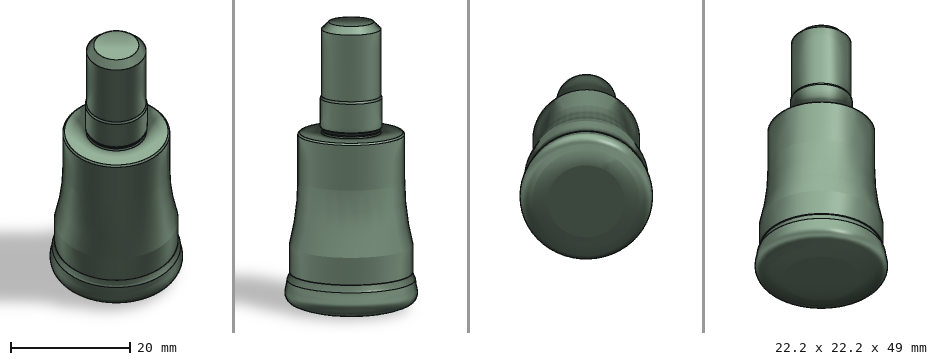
import cadquery as cq
import math


total_height = 49.0
shoulder_height = 30.05
flare_top = 21.95
flare_bottom = 10.75
joint_height = 6.05

stem_radius = 5.0
tip_chamfer = 1.22
collar_radius = 5.2
collar_top = 35.95
collar_top_bevel = 0.4
collar_bottom = 31.05
collar_step = collar_radius - stem_radius

groove_radius = 4.8
groove_top = 30.5
groove_bottom = 30.3
groove_rim_radius = 5.05

barrel_radius = 8.95
barrel_chamfer = 0.3
band_radius = 10.4
band_edge_chamfer = 0.1

pad_top_radius = 10.3
pad_cone_radius = 10.65
pad_cone_height = 5.15
rib_radius = 10.8
rib_top = 4.85
rib_bottom = 4.4
rib_foot_radius = 10.85
cove_radius = 11.02
cove_height = 3.4
cove_depth = 0.025
bulge_radius = 11.1
bulge_top_radius = 11.05
bulge_top = 3.1
bulge_height = 2.65
heel_radius = 9.95
heel_height = 0.9
sole_edge_radius = 8.95
sole_edge_height = 0.5


def flare_midpoint():
    """Point halfway along the flare, a circular arc tangent to the straight barrel."""
    rise = flare_top - flare_bottom
    spread = band_radius - barrel_radius
    arc_radius = (rise**2 + spread**2) / (2 * spread)
    half_angle = math.asin(rise / arc_radius) / 2
    return (
        barrel_radius + arc_radius * (1 - math.cos(half_angle)),
        flare_top - arc_radius * math.sin(half_angle),
    )


def revolve_about_z(outline):
    """Close a half section drawn in the XZ plane and turn it about the Z axis."""
    return outline.close().revolve(360, (0, 0, 0), (0, 1, 0))


def make_plunger():
    """Chamfered stem with collar and relief groove, on a barrel that flares to a wider band."""
    outline = (
        cq.Workplane("XZ")
        .moveTo(0, total_height)
        .lineTo(stem_radius - tip_chamfer, total_height)
        .lineTo(stem_radius, total_height - tip_chamfer)
        .lineTo(stem_radius, collar_top + collar_top_bevel)
        .lineTo(collar_radius, collar_top)
        .lineTo(collar_radius, collar_bottom)
        .lineTo(stem_radius, collar_bottom - collar_step)
        .lineTo(groove_radius, groove_top)
        .lineTo(groove_radius, groove_bottom)
        .lineTo(groove_rim_radius, shoulder_height)
        .lineTo(barrel_radius - barrel_chamfer, shoulder_height)
        .lineTo(barrel_radius, shoulder_height - barrel_chamfer)
        .lineTo(barrel_radius, flare_top)
        .threePointArc(flare_midpoint(), (band_radius, flare_bottom))
        .lineTo(band_radius, joint_height + band_edge_chamfer)
        .lineTo(band_radius - band_edge_chamfer, joint_height)
        .lineTo(0, joint_height)
    )
    return revolve_about_z(outline)


def sole_radius():
    """Radius of the flat underside, where the rounding off the heel cone meets it tangentially."""
    cone_angle = math.atan2(heel_height - sole_edge_height, heel_radius - sole_edge_radius)
    rounding_radius = sole_edge_height / (1 - math.cos(cone_angle))
    return sole_edge_radius - rounding_radius * math.sin(cone_angle)


def make_pad():
    """Foot pad with a top cone, a narrow rib, a shallow cove, a rounded side and a rounded sole."""
    cove_middle = (
        (rib_foot_radius + cove_radius) / 2 - cove_depth,
        (rib_bottom + cove_height) / 2,
    )
    outline = (
        cq.Workplane("XZ")
        .moveTo(0, joint_height)
        .lineTo(pad_top_radius, joint_height)
        .lineTo(pad_cone_radius, pad_cone_height)
        .lineTo(rib_radius, rib_top)
        .lineTo(rib_foot_radius, rib_bottom)
        .threePointArc(cove_middle, (cove_radius, cove_height))
        .lineTo(bulge_top_radius, bulge_top)
        .threePointArc((bulge_radius, bulge_height), (heel_radius, heel_height))
        .lineTo(sole_edge_radius, sole_edge_height)
        .tangentArcPoint((sole_radius(), 0), relative=False)
        .lineTo(0, 0)
    )
    return revolve_about_z(outline)


plunger = make_plunger()
pad = make_pad()

result = cq.Compound.makeCompound([plunger.val(), pad.val()])